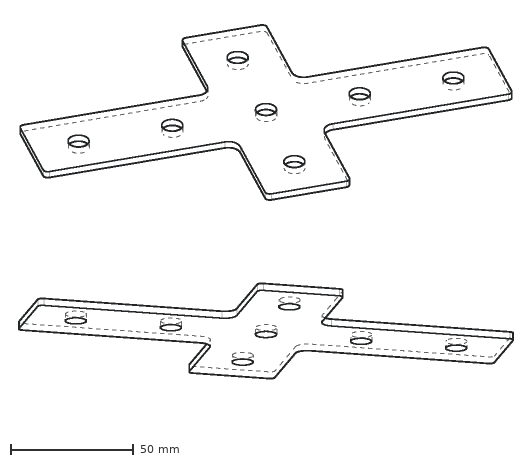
import cadquery as cq

length = 200.0
width = 120.0
thickness = 3.0
arm_width = 36.0

outer_corner_radius = 2.0
inner_corner_radius = 5.0

hole_diameter = 8.5
hole_pitch = 40.0
holes_along_length = 5
holes_along_width = 3


def bar(size_x, size_y):
    """Flat bar centred on the origin with rounded ends, resting on Z = 0."""
    blank = cq.Workplane("XY").box(size_x, size_y, thickness, centered=(True, True, False))
    return blank.edges("|Z").fillet(outer_corner_radius)


def hole_row(count):
    """Offsets of evenly spaced holes centred on zero."""
    return [(i - (count - 1) / 2) * hole_pitch for i in range(count)]


plate = bar(arm_width, length).union(bar(width, arm_width))
inner_corners = cq.selectors.BoxSelector((-arm_width, -arm_width, 0), (arm_width, arm_width, thickness))
plate = plate.edges("|Z").edges(inner_corners).fillet(inner_corner_radius)

hole_centres = [(0, y) for y in hole_row(holes_along_length)]
hole_centres += [(x, 0) for x in hole_row(holes_along_width) if x != 0]
holes = (
    cq.Workplane("XY")
    .pushPoints(hole_centres)
    .circle(hole_diameter / 2)
    .extrude(thickness)
)

result = plate.cut(holes)